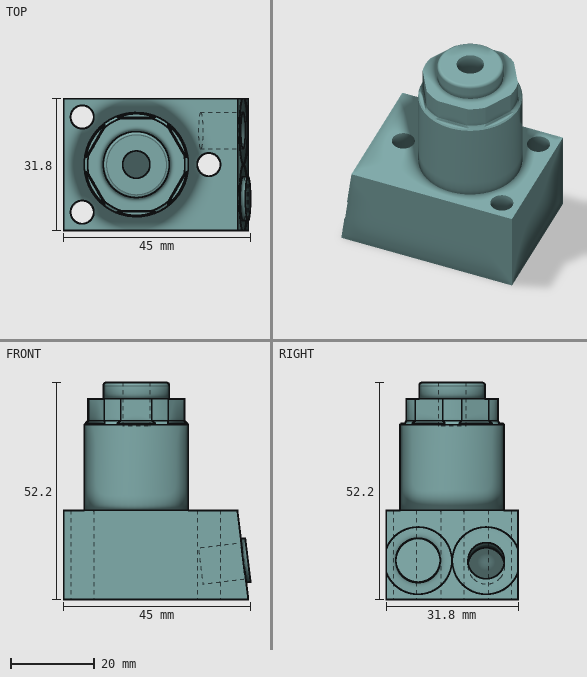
import cadquery as cq
import math

block_width = 31.75
block_height = 21.45
block_top_length = 41.8
slope_angle = 7.0
slope_run = block_height * math.tan(math.radians(slope_angle))

mount_radius = 2.75
mount_x_near = 4.5
mount_x_far = 34.9
mount_y = 11.45

tower_x = 17.5
body_radius = 12.55
body_top = 42.0
collar_radius = 11.7
cone_height = 0.95
collar_top = 48.25
cap_radius = 7.95
cap_top = 52.2
cap_fillet = 0.75
bore_radius = 3.3
bore_depth = 10.45

flat_distance = 11.05
flat_count = 6
flat_step = 360 / flat_count
runout_width = 0.25
runout_height = 0.6

port_z = 9.4
port_y = 8.2
spotface_radius = 8.15
spotface_depth = 0.15
port_bore_radius = 4.4
port_bore_depth = 10.45
plug_radius = 5.3
plug_projection = 1.05


def make_block():
    return (
        cq.Workplane("XZ")
        .moveTo(0, 0)
        .lineTo(block_top_length + slope_run, 0)
        .lineTo(block_top_length, block_height)
        .lineTo(0, block_height)
        .close()
        .extrude(block_width / 2, both=True)
    )


def tower_cylinder(radius, bottom, top):
    return cq.Workplane("XY", origin=(tower_x, 0, bottom)).circle(radius).extrude(top - bottom)


def make_flat_cutter(angle):
    """Solid outside one collar flat, with the sloped run-out at its foot."""
    collar_bottom = body_top + cone_height
    outer = 2 * body_radius
    return (
        cq.Workplane("XZ")
        .moveTo(flat_distance, collar_top)
        .lineTo(flat_distance, collar_bottom)
        .lineTo(flat_distance + runout_width, collar_bottom - runout_height)
        .lineTo(outer, collar_bottom - runout_height)
        .lineTo(outer, collar_top)
        .close()
        .extrude(body_radius, both=True)
        .rotate((0, 0, 0), (0, 0, 1), angle)
        .translate((tower_x, 0, 0))
    )


def make_tower():
    body = tower_cylinder(body_radius, 0, body_top + cone_height)
    body = body.faces(">Z").chamfer(cone_height, body_radius - collar_radius)
    tower = body.union(tower_cylinder(collar_radius, body_top, collar_top))
    for index in range(flat_count):
        tower = tower.cut(make_flat_cutter((index + 0.5) * flat_step))
    cap = tower_cylinder(cap_radius, body_top, cap_top).faces(">Z").edges().fillet(cap_fillet)
    bore = tower_cylinder(bore_radius, cap_top - bore_depth, cap_top)
    return tower.union(cap).cut(bore)


def port_cylinder(y, radius, start, end):
    """Cylinder square to the sloping face, with start and end measured outward from it."""
    face_x = block_top_length + slope_run * (1 - port_z / block_height)
    normal = (math.cos(math.radians(slope_angle)), 0, math.sin(math.radians(slope_angle)))
    face = cq.Plane(origin=(face_x, y, port_z), xDir=(0, 1, 0), normal=normal)
    return cq.Workplane(face).workplane(offset=start).circle(radius).extrude(end - start)


result = make_block().union(make_tower())
mount_points = [(mount_x_near, -mount_y), (mount_x_near, mount_y), (mount_x_far, 0)]
result = result.cut(
    cq.Workplane("XY").pushPoints(mount_points).circle(mount_radius).extrude(block_height)
)

for side in (-1, 1):
    result = result.cut(port_cylinder(side * port_y, spotface_radius, -spotface_depth, plug_projection))
result = result.cut(port_cylinder(port_y, port_bore_radius, -port_bore_depth, 0))
result = result.union(port_cylinder(-port_y, plug_radius, -2 * spotface_depth, plug_projection))